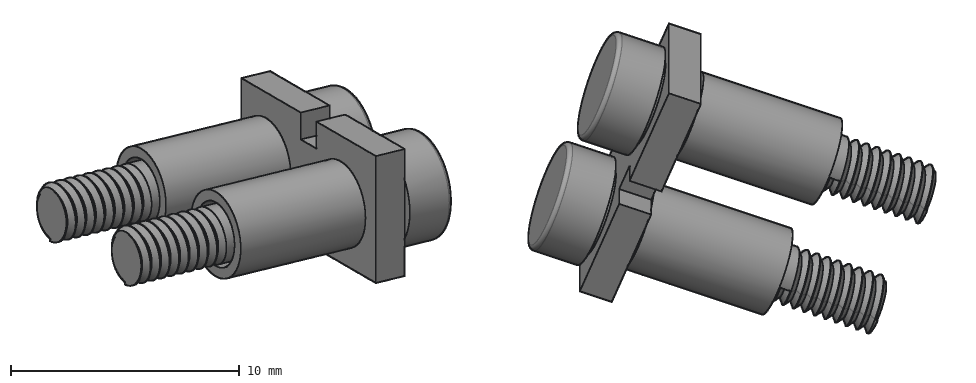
import cadquery as cq

SCREW_SPACING = 6.0
SCREW_CENTRES = (-SCREW_SPACING / 2, SCREW_SPACING / 2)

TOTAL_LENGTH = 15.5
HEAD_LENGTH = 2.25
HEAD_FILLET = 0.2
WASHER_THICKNESS = 0.2
PLATE_THICKNESS = 1.5
SLEEVE_GAP = 0.28
SLEEVE_LENGTH = 6.51

HEAD_DIAMETER = 5.0
SLEEVE_DIAMETER = 4.0
SLEEVE_BORE = 3.0
WASHER_DIAMETER = SLEEVE_DIAMETER
SHANK_DIAMETER = 2.64
SHANK_RADIUS = SHANK_DIAMETER / 2

PLATE_WIDTH = 10.8
PLATE_HEIGHT = SCREW_SPACING
NOTCH_WIDTH = 1.25
NOTCH_DEPTH = 1.27

THREAD_PITCH = 0.5
THREAD_TURNS = 9
THREAD_OVERRUN = THREAD_PITCH / 4
GROOVE_WIDTH = 0.46
GROOVE_DEPTH = 0.28
CUTTER_OVERHANG = 0.02

HEAD_SEAT = TOTAL_LENGTH - HEAD_LENGTH
PLATE_TOP = HEAD_SEAT - WASHER_THICKNESS
PLATE_BOTTOM = PLATE_TOP - PLATE_THICKNESS
SLEEVE_TOP = PLATE_BOTTOM - SLEEVE_GAP
SLEEVE_BOTTOM = SLEEVE_TOP - SLEEVE_LENGTH
THREAD_START = THREAD_TURNS * THREAD_PITCH - THREAD_OVERRUN


def cylinder(diameter, y_start, length, x=0.0):
    """Cylinder along +Y, starting at y_start and centred at x."""
    base = cq.Workplane("XZ", origin=(x, y_start, 0))
    return base.circle(diameter / 2).extrude(-length)


def ring(outer_diameter, bore, y_start, length, x):
    """Cylinder with a through bore."""
    return cylinder(outer_diameter, y_start, length, x).cut(cylinder(bore, y_start, length, x))


def groove_turn(start_y):
    """Helical V cutter about the Y axis: one turn, from start_y towards the tip."""
    axis_start = cq.Vector(0, start_y, 0)
    helix = cq.Wire.makeHelix(THREAD_PITCH, THREAD_PITCH, SHANK_RADIUS, axis_start, cq.Vector(0, -1, 0))
    crest_z = -SHANK_RADIUS
    outer_z = crest_z - CUTTER_OVERHANG
    half_width = GROOVE_WIDTH / 2 * (GROOVE_DEPTH + CUTTER_OVERHANG) / GROOVE_DEPTH
    profile = (
        cq.Workplane("YZ")
        .moveTo(start_y, crest_z + GROOVE_DEPTH)
        .lineTo(start_y + half_width, outer_z)
        .lineTo(start_y - half_width, outer_z)
        .close()
    )
    return profile.sweep(cq.Workplane(helix), isFrenet=True)


def make_screw():
    """Cylinder-head screw on the Y axis, tip at Y = 0."""
    head = cylinder(HEAD_DIAMETER, HEAD_SEAT, HEAD_LENGTH).faces(">Y").edges().fillet(HEAD_FILLET)
    shank = cylinder(SHANK_DIAMETER, 0, HEAD_SEAT)
    for turn in range(THREAD_TURNS):
        shank = shank.cut(groove_turn(THREAD_START - turn * THREAD_PITCH))
    return head.union(shank)


def make_washer(x):
    """Washer between a screw head and the bridge plate."""
    return ring(WASHER_DIAMETER, SHANK_DIAMETER, PLATE_TOP, WASHER_THICKNESS, x)


def make_sleeve(x):
    """Spacer sleeve around a shank, with radial clearance."""
    return ring(SLEEVE_DIAMETER, SLEEVE_BORE, SLEEVE_BOTTOM, SLEEVE_LENGTH, x)


def make_bridge_plate():
    """Plate joining both screws, with a notch in the middle of each long edge."""
    centre_y = PLATE_BOTTOM + PLATE_THICKNESS / 2
    plate = cq.Workplane("XY").box(PLATE_WIDTH, PLATE_THICKNESS, PLATE_HEIGHT)
    notch = cq.Workplane("XY").box(NOTCH_WIDTH, PLATE_THICKNESS, 2 * NOTCH_DEPTH)
    for edge_z in (-PLATE_HEIGHT / 2, PLATE_HEIGHT / 2):
        plate = plate.cut(notch.translate((0, 0, edge_z)))
    plate = plate.translate((0, centre_y, 0))
    for x in SCREW_CENTRES:
        plate = plate.cut(cylinder(SHANK_DIAMETER, PLATE_BOTTOM, PLATE_THICKNESS, x))
    return plate


bridge_plate = make_bridge_plate()
screw = make_screw()
bodies = [bridge_plate.solids().val()]
for x in SCREW_CENTRES:
    bodies.append(screw.translate((x, 0, 0)).solids().val())
    bodies.append(make_washer(x).solids().val())
    bodies.append(make_sleeve(x).solids().val())

result = cq.Compound.makeCompound(bodies)